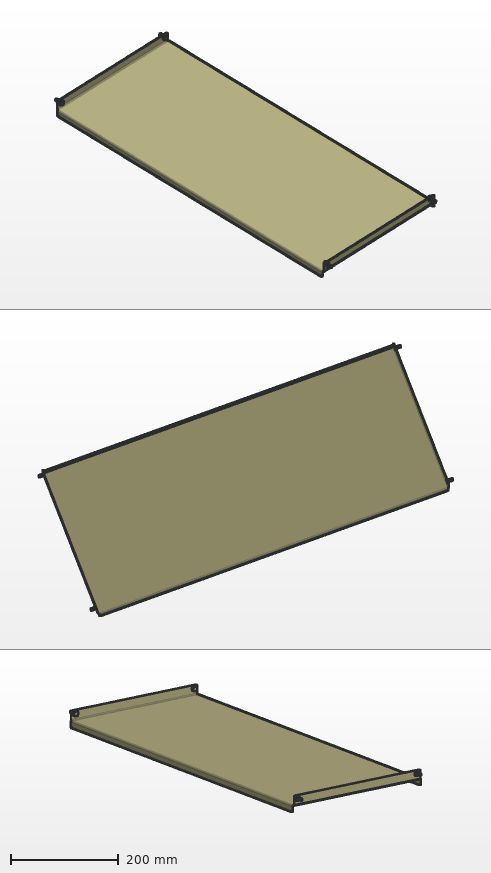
import cadquery as cq

overall_length = 719.0
shelf_width = 298.0
overall_height = 32.0

shelf_length = 698.0
sheet = 1.2
bend_radius = 2.4
skirt_height = 14.0
corner_radius = 4.0

stud_diameter = 4.7
head_diameter = 10.0
head_thickness = 4.0
stud_inset = 8.5
stud_drop = 6.5

top_z = overall_height / 2
bottom_z = -overall_height / 2
deck_top = bottom_z + skirt_height
deck_bottom = deck_top - sheet
deck_length = shelf_length - 2 * bend_radius
deck_width = shelf_width - 2 * bend_radius
inner_bend_radius = bend_radius - sheet
wall_inner_x = shelf_length / 2 - sheet
stud_y = deck_width / 2 - stud_inset
stud_z = top_z - stud_drop


def folded_flange(plane, edge, deck_face, tip, direction, length):
    """A bend and flat flange beyond a deck edge, extruded along that edge.

    deck_face is the height of the deck face outside the bend, and direction is +1 for a
    flange folded up or -1 for one folded down.
    """
    inner_face = deck_face + direction * sheet
    bend_end = deck_face + direction * bend_radius
    outer = edge + bend_radius
    diagonal = 0.5 ** 0.5
    outer_mid = (edge + bend_radius * diagonal, bend_end - direction * bend_radius * diagonal)
    inner_mid = (edge + inner_bend_radius * diagonal, bend_end - direction * inner_bend_radius * diagonal)
    return (
        cq.Workplane(plane)
        .moveTo(edge, deck_face)
        .threePointArc(outer_mid, (outer, bend_end))
        .lineTo(outer, tip)
        .lineTo(outer - sheet, tip)
        .lineTo(outer - sheet, bend_end)
        .threePointArc(inner_mid, (edge, inner_face))
        .close()
        .extrude(length / 2, both=True)
    )


def make_shelf():
    """Flat deck with side walls folded up, skirts folded down and holes for the studs."""
    deck = cq.Workplane("XY").workplane(offset=deck_bottom).rect(deck_length, deck_width).extrude(sheet)

    wall = folded_flange("XZ", deck_length / 2, deck_bottom, top_z, 1, deck_width)
    wall = wall.edges("|X and >Z").fillet(corner_radius)
    wall = wall.cut(
        cq.Workplane("YZ", origin=(wall_inner_x, 0, stud_z))
        .pushPoints([(-stud_y, 0), (stud_y, 0)])
        .circle(stud_diameter / 2)
        .extrude(sheet)
    )

    skirt = folded_flange("YZ", deck_width / 2, deck_top, bottom_z, -1, deck_length)
    skirt = skirt.edges("|Y and <Z").fillet(corner_radius)

    return deck.union(wall).union(wall.mirror("YZ")).union(skirt).union(skirt.mirror("XZ"))


def make_stud(side, y):
    """Stud through a side wall, its head against the inner face; side is -1 or +1 along X."""
    head_x = wall_inner_x - head_thickness
    profile = cq.Workplane("YZ", origin=(head_x, y, stud_z))
    head = profile.circle(head_diameter / 2).extrude(head_thickness)
    shank = profile.circle(stud_diameter / 2).extrude(overall_length / 2 - head_x)
    stud = head.union(shank)
    return stud if side > 0 else stud.mirror("YZ")


shelf = make_shelf()
studs = [make_stud(side, y) for side in (-1, 1) for y in (-stud_y, stud_y)]

result = cq.Compound.makeCompound([shelf.val(), *[stud.val() for stud in studs]])